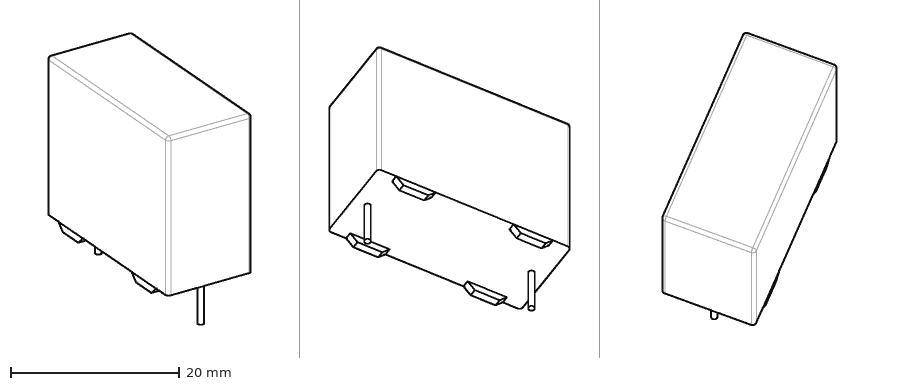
import cadquery as cq

length = 26.5
width = 12.0
total_height = 27.0
lead_length = 6.0
housing_height = total_height - lead_length
edge_radius = 0.45

lead_diameter = 0.8
lead_pitch = 22.5

foot_height = 1.0
foot_thickness = 1.0
foot_top_length = 5.4
foot_bottom_length = 3.4
foot_spacing = 16.1


def make_housing():
    """Box with rounded upright and top edges and a sharp bottom rim."""
    box = cq.Workplane("XY").box(length, width, housing_height, centered=(True, True, False))
    return box.edges("|Z or >Z").fillet(edge_radius)


def make_lead(side):
    """Round lead hanging from the underside, on the -X or +X side."""
    return (
        cq.Workplane("XY")
        .center(side * lead_pitch / 2, 0)
        .circle(lead_diameter / 2)
        .extrude(-lead_length)
    )


def make_foot(x_side, y_side):
    """Trapezoidal foot under the housing, its outer face flush with a long side."""
    centre_y = y_side * (width - foot_thickness) / 2
    profile = [
        (-foot_top_length / 2, 0),
        (foot_top_length / 2, 0),
        (foot_bottom_length / 2, -foot_height),
        (-foot_bottom_length / 2, -foot_height),
    ]
    foot = cq.Workplane("XZ").polyline(profile).close().extrude(foot_thickness / 2, both=True)
    return foot.translate((x_side * foot_spacing / 2, centre_y, 0))


sides = (-1, 1)
housing = make_housing()
leads = [make_lead(side).val() for side in sides]
feet = [make_foot(x_side, y_side).val() for x_side in sides for y_side in sides]

result = cq.Compound.makeCompound([housing.val(), *leads, *feet])